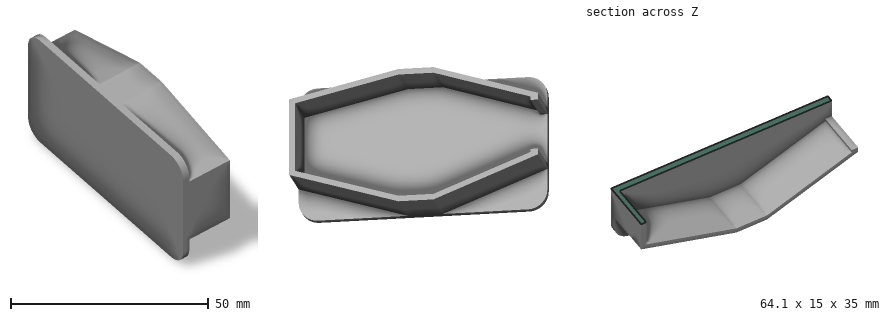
import cadquery as cq

length = 64.1
height = 35.0
depth = 15.0
plate_thickness = 2.0
corner_radius = 5.0

half_length = length / 2
half_height = height / 2
flat_left = -5.1
flat_right = 3.9
top_left_z = 9.2
top_right_z = 11.0
bottom_left_z = -7.05
bottom_right_z = -9.0

wall = 1.5
end_wall = 1.55
lip_length = 1.9
upper_lip_z = 7.45
lower_lip_z = -5.5


def z_on_slope(x, start, end):
    """Height at x on the straight line through two (x, z) points."""
    slope = (end[1] - start[1]) / (end[0] - start[0])
    return start[1] + slope * (x - start[0])


def extrude_back(sketch, distance):
    """Extrude an XZ sketch toward +Y."""
    return sketch.extrude(-distance)


plate = extrude_back(cq.Workplane("XZ").rect(length, height), plate_thickness)
plate = plate.edges("|Y").fillet(corner_radius)

top_left = (-half_length, top_left_z)
top_flat_start = (flat_left, half_height)
top_flat_end = (flat_right, half_height)
top_right = (half_length, top_right_z)
bottom_right = (half_length, bottom_right_z)
bottom_flat_end = (flat_right, -half_height)
bottom_flat_start = (flat_left, -half_height)
bottom_left = (-half_length, bottom_left_z)

lip_x = -half_length + lip_length
end_x = half_length - end_wall
cavity_top_left = z_on_slope(lip_x, top_left, top_flat_start) - wall
cavity_top_right = z_on_slope(end_x, top_flat_end, top_right) - wall
cavity_bottom_right = z_on_slope(end_x, bottom_flat_end, bottom_right) + wall
cavity_bottom_left = z_on_slope(lip_x, bottom_flat_start, bottom_left) + wall

rim_points = [
    top_left,
    top_flat_start,
    top_flat_end,
    top_right,
    bottom_right,
    bottom_flat_end,
    bottom_flat_start,
    bottom_left,
    (-half_length, lower_lip_z),
    (lip_x, lower_lip_z),
    (lip_x, cavity_bottom_left),
    (flat_left, -half_height + wall),
    (flat_right, -half_height + wall),
    (end_x, cavity_bottom_right),
    (end_x, cavity_top_right),
    (flat_right, half_height - wall),
    (flat_left, half_height - wall),
    (lip_x, cavity_top_left),
    (lip_x, upper_lip_z),
    (-half_length, upper_lip_z),
]
rim = extrude_back(cq.Workplane("XZ").polyline(rim_points).close(), depth)

result = plate.union(rim)